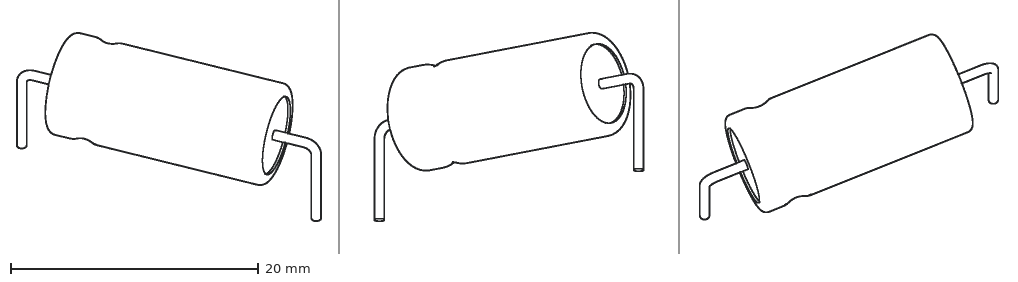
import cadquery as cq
import math

overall_length = 26.2
can_length = 18.52
can_diameter = 8.5
can_edge_radius = 0.52

groove_from_end = 2.99
groove_width = 2.35
groove_floor_width = 1.6
groove_depth = 0.25

disc_diameter = 6.5
disc_thickness = 0.5
disc_recess = 0.2

lead_diameter = 0.8
lead_bend_radius = 1.0
lead_bottom_z = -7.85

can_radius = can_diameter / 2
can_end_x = can_length / 2
disc_face_x = can_end_x - disc_recess
disc_inner_x = disc_face_x - disc_thickness
lead_leg_x = (overall_length - lead_diameter) / 2
SIDES = (-1, 1)


def make_groove_ring():
    """Ring that removes the groove: concave floor with tangent convex shoulders."""
    center_x = -can_end_x + groove_from_end
    half_width = groove_width / 2
    half_floor = groove_floor_width / 2
    floor_z = can_radius - groove_depth

    turn = 2 * math.atan(groove_depth / half_width)
    floor_radius = half_floor / math.sin(turn)
    shoulder_radius = (half_width - half_floor) / math.sin(turn)
    joint_z = floor_z + floor_radius * (1 - math.cos(turn))
    shoulder_mid_x = half_width - shoulder_radius * math.sin(turn / 2)
    shoulder_mid_z = can_radius - shoulder_radius * (1 - math.cos(turn / 2))

    return (
        cq.Workplane("XZ")
        .moveTo(center_x - half_width, can_radius)
        .threePointArc((center_x - shoulder_mid_x, shoulder_mid_z), (center_x - half_floor, joint_z))
        .threePointArc((center_x, floor_z), (center_x + half_floor, joint_z))
        .threePointArc((center_x + shoulder_mid_x, shoulder_mid_z), (center_x + half_width, can_radius))
        .close()
        .revolve(360, (0, 0, 0), (1, 0, 0))
    )


def make_cylinder_along_x(start_x, end_x, diameter):
    return cq.Workplane("YZ", origin=(start_x, 0, 0)).circle(diameter / 2).extrude(end_x - start_x)


def make_can():
    can = make_cylinder_along_x(-can_end_x, can_end_x, can_diameter)
    can = can.edges("%CIRCLE").fillet(can_edge_radius)
    can = can.cut(make_groove_ring())
    for side in SIDES:
        can = can.cut(make_cylinder_along_x(side * disc_inner_x, side * can_end_x, disc_diameter))
    return can


def make_end_disc(side):
    return make_cylinder_along_x(side * disc_inner_x, side * disc_face_x, disc_diameter)


def make_lead(side):
    """Wire that leaves the disc face along X and bends down to its free end."""
    bend_start_x = lead_leg_x - lead_bend_radius
    bend_mid_x = bend_start_x + lead_bend_radius * math.sin(math.pi / 4)
    bend_mid_z = -lead_bend_radius * (1 - math.cos(math.pi / 4))
    path = (
        cq.Workplane("XZ")
        .moveTo(side * disc_face_x, 0)
        .lineTo(side * bend_start_x, 0)
        .threePointArc((side * bend_mid_x, bend_mid_z), (side * lead_leg_x, -lead_bend_radius))
        .lineTo(side * lead_leg_x, lead_bottom_z)
    )
    section = cq.Workplane("YZ", origin=(side * disc_face_x, 0, 0)).circle(lead_diameter / 2)
    return section.sweep(path)


can = make_can()
end_discs = [make_end_disc(side) for side in SIDES]
leads = [make_lead(side) for side in SIDES]

bodies = [can, *end_discs, *leads]
result = cq.Compound.makeCompound([body.solids().val() for body in bodies])